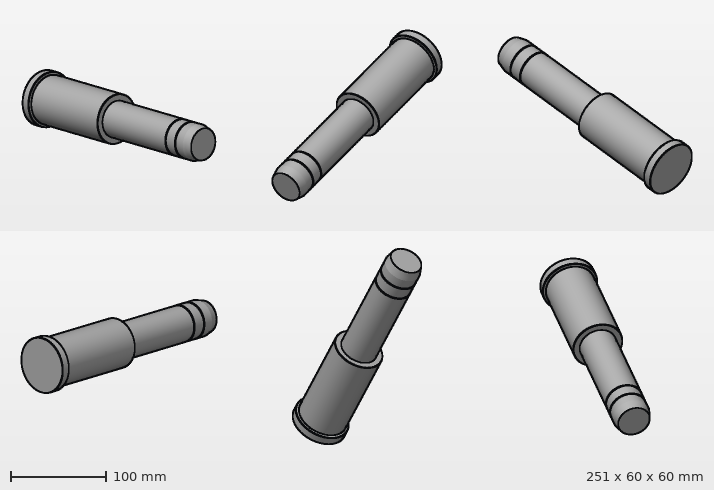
import cadquery as cq

total_length = 251.0
head_x = -total_length / 2
tip_x = total_length / 2

head_radius = 60.0 / 2
head_length = 10.0
head_chamfer = 0.5

body_radius = 54.0 / 2
body_start_x = head_x + head_length
body_end_x = head_x + 115.0
body_chamfer = 0.5
relief_radius = 0.5

shank_radius = 40.0 / 2
tip_radius = 34.6 / 2
tip_length = 10.0
taper_start_x = tip_x - tip_length

groove_radius = 0.5
groove_offsets = [37.1, 22.0]


def cylinder(start_x, end_x, radius):
    """Solid cylinder along X between two stations."""
    return cq.Workplane("YZ", origin=(start_x, 0, 0)).circle(radius).extrude(end_x - start_x)


def round_groove(centre_x, surface_radius, section_radius):
    """Torus around X that cuts a half-round groove into a cylinder."""
    centre = cq.Vector(centre_x, 0, 0)
    axis = cq.Vector(1, 0, 0)
    return cq.Workplane(cq.Solid.makeTorus(surface_radius, section_radius, centre, axis))


def make_head():
    """Flat head with both rims chamfered."""
    return cylinder(head_x, body_start_x, head_radius).faces("|X").chamfer(head_chamfer)


def make_body():
    """Locating body with a chamfered end and a relief groove beside the head."""
    body = cylinder(body_start_x, body_end_x, body_radius).faces(">X").chamfer(body_chamfer)
    return body.cut(round_groove(body_start_x + relief_radius, body_radius, relief_radius))


def make_shank():
    """Guide shank with two half-round grooves and a tapered tip."""
    shank = cylinder(body_end_x, taper_start_x, shank_radius)
    tip_base = cq.Vector(taper_start_x, 0, 0)
    tip = cq.Solid.makeCone(shank_radius, tip_radius, tip_length, tip_base, cq.Vector(1, 0, 0))
    shank = shank.union(cq.Workplane(tip))
    for offset in groove_offsets:
        shank = shank.cut(round_groove(tip_x - offset, shank_radius, groove_radius))
    return shank


result = make_head().union(make_body()).union(make_shank())